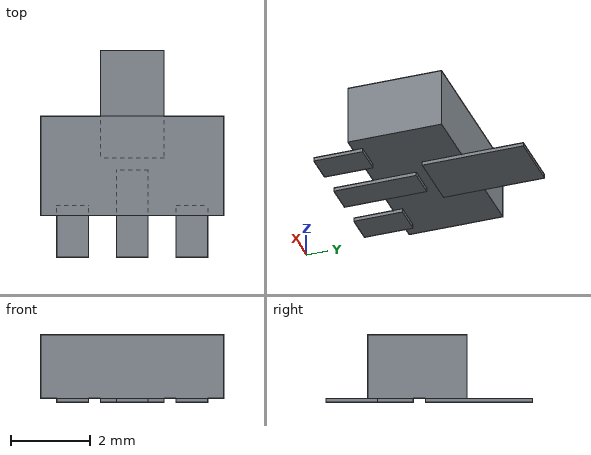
import cadquery as cq

housing_length = 4.6
housing_depth = 2.5
housing_height = 1.6

metal_thickness = 0.1
overall_depth = 5.2
lead_width = 0.8
lead_pitch = 1.5
lead_overhang = 1.05
outer_lead_length = 1.3
middle_lead_length = 2.2
tab_width = 1.6
tab_length = 2.7

front_end = -overall_depth / 2
back_end = overall_depth / 2
housing_front = front_end + lead_overhang


def plate(width, length, center_x, front_y):
    """Flat metal strip with its front edge at front_y."""
    return (
        cq.Workplane("XY")
        .box(width, length, metal_thickness, centered=(True, False, False))
        .translate((center_x, front_y, 0))
    )


def make_housing():
    """Plain block resting on top of the metal."""
    return (
        cq.Workplane("XY")
        .box(housing_length, housing_depth, housing_height, centered=(True, False, False))
        .translate((0, housing_front, metal_thickness))
    )


def make_tab():
    """Wide cooling tab at the back."""
    return plate(tab_width, tab_length, 0, back_end - tab_length)


def make_lead(position):
    """Front lead; position is -1, 0 or 1, and the middle one reaches further in."""
    length = middle_lead_length if position == 0 else outer_lead_length
    return plate(lead_width, length, position * lead_pitch, front_end)


housing = make_housing()
tab = make_tab()
leads = [make_lead(position) for position in (-1, 0, 1)]

result = cq.Compound.makeCompound([housing.val(), tab.val(), *[lead.val() for lead in leads]])